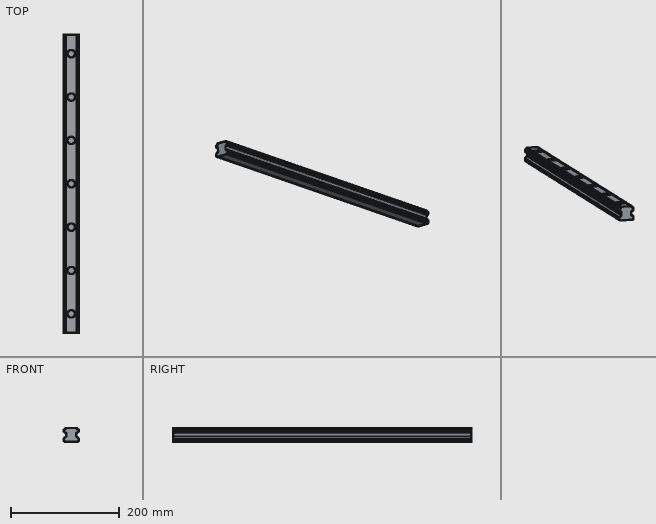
import cadquery as cq

length = 550.0
width = 28.0
height = 26.0

base_chamfer = 2.0
base_side_top = 5.5
waist_top = 14.5
underside_groove_top = 17.0
head_side_bottom = 19.0
head_side_top = 21.5
ledge_height = 22.5

half_width = width / 2
waist_half_width = 9.5
ledge_half_width = half_width - (ledge_height - head_side_top)

waist_bottom = base_side_top + half_width - waist_half_width

crown_chamfer = 0.5
crown_half_width = 10.5

upper_groove_radius = 3.0
lower_groove_radius = 3.5

hole_count = 7
hole_diameter = 14.0
cap_depth = 0.5
end_distance = 35.0
hole_pitch = (length - 2 * end_distance) / (hole_count - 1)


def half_section():
    """Right half of the rail section, closed along the middle plane."""
    underside_half_width = half_width - (head_side_bottom - underside_groove_top)
    return (
        cq.Workplane("XZ")
        .lineTo(half_width - base_chamfer, 0)
        .lineTo(half_width, base_chamfer)
        .lineTo(half_width, base_side_top)
        .lineTo(waist_half_width, waist_bottom)
        .lineTo(waist_half_width, waist_top)
        .radiusArc((underside_half_width, underside_groove_top), lower_groove_radius)
        .lineTo(half_width, head_side_bottom)
        .lineTo(half_width, head_side_top)
        .lineTo(ledge_half_width, ledge_height)
        .radiusArc((crown_half_width, height - crown_chamfer), upper_groove_radius)
        .lineTo(crown_half_width - crown_chamfer, height)
        .lineTo(0, height)
        .close()
    )


def rail_body():
    """Symmetric rail, mirrored from one half section extruded along Y."""
    right_half = half_section().extrude(length / 2, both=True)
    return right_half.union(right_half.mirror("YZ")).clean()


def cap_recesses():
    """Shallow round recesses along the middle of the top face."""
    return (
        cq.Workplane("XY", origin=(0, 0, height))
        .rarray(5.5, hole_pitch, 1, hole_count)
        .circle(hole_diameter / 2)
        .extrude(-cap_depth)
    )


result = rail_body().cut(cap_recesses())